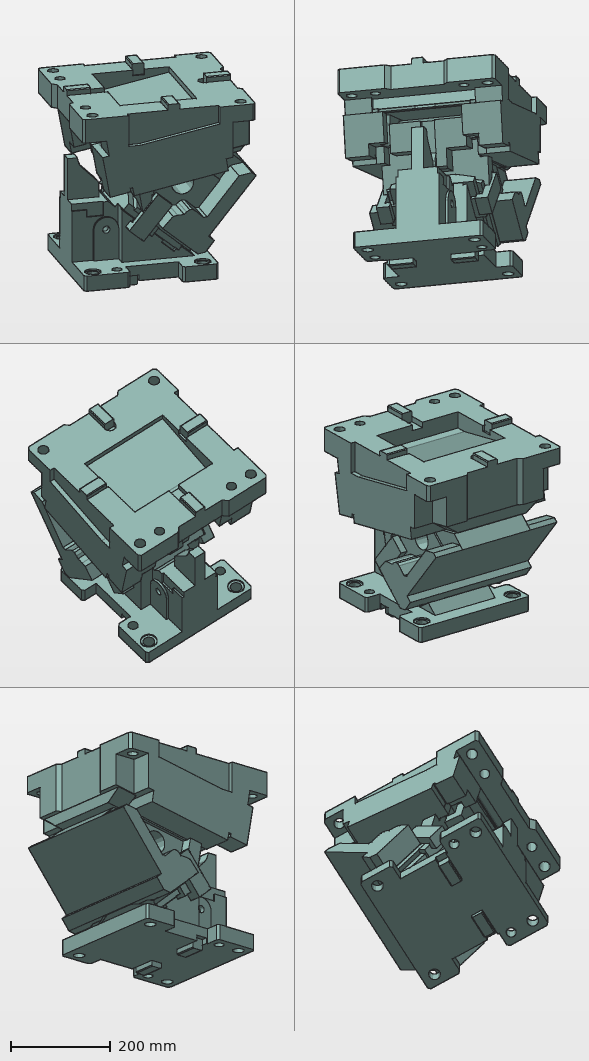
import cadquery as cq
import math


RAIL_ANGLE = 40
HOLDER_ANGLE = -10
KEY_WIDTH = 24.7
KEY_HEIGHT = 24.0
KEY_PROUD = KEY_HEIGHT / 2
KEY_LENGTH = 50.0
KEY_CHAMFER = 2.0

PLATE_HALF = 135.5
PLATE_LENGTH = 280.0
PLATE_TOP = 32.5
PLATE_CHAMFER = 4.8
WAIST_HALF = 101.7
WAIST_FRONT = 95.8
WAIST_REAR = 205.5
BASE_BOLT_X = 112.0
BASE_BOLT_FRONT = 24.0
BASE_BOLT_REAR = 253.0
BASE_BOLT_DIA = 23.0
SPOTFACE_DIA = 33.0
SPOTFACE_DEPTH = 3.0
BASE_DOWEL_Y = 74.2
DOWEL_DIA = 20.0
BASE_KEY_Y = 111.5
BASE_KEY_INNER = 40.0
COLUMN_HALF = 45.5
COLUMN_TOP = 154.0
BODY_HALF = 74.2
BODY_REAR = 246.5
POST_HALF = 12.8
POST_TOP = 241.0
POST_DEPTH = 65.0
RECESS_DEPTH = 4.0
RECESS_STEP_Y = 30.7
RECESS_SHALLOW_Z = 140.0
RECESS_DEEP_Z = 125.0
NOTCH_Y = 75.5
NOTCH_FLOOR = 165.5
PAD_HALF = 50.5
PAD_Y = 70.0
PAD_RADIUS = 26.0
PAD_CENTRE_Z = 96.5
PAD_HOLE_DIA = 14.8
PAD_HOLE_DEPTH = 12.0

RAIL_HALF = 87.8
RAIL_REAR = -127.3
RAIL_FRONT = 22.5
RAIL_BOTTOM = 174.5
ROOF_TOP = 208.3
ROOF_FLAT_HALF = 44.0
ROOF_ANGLE = 21
NECK_HALF = 65.5
NECK_HEIGHT = 2.8
POCKET_LENGTH = 34.0
KEEPER_THICK = 8.5

FLANGE_HALF = 149.5
FLANGE_TIP = (354.0, 217.0)
FLANGE_STEP = (255.0, 97.5)
CORE_TOP_REAR = (324.8, 242.0)
SLIDE_BOTTOM = 196.7
WEAR_OUTER = 98.0
WEAR_REAR = -142.5
FLANGE_REAR = -137.5
WEAR_FRONT = 8.8
LIP_HALF = 111.0
LIP_REAR = -182.0
SLIDE_HALF = 87.8
GUSSET_HALF = 83.8
GUSSET_START = 338.5
SLIDE_FRONT = -152.5
WEAR_THICK = 9.5
SLIDE_TOP = 183.0
BORE_DIA = 46.0
BORE_Y = 218.3
BORE_Z = 193.5
HEAD_HALF = 94.5
HEAD_REAR = -311.2
STEM_HALF = 71.0
WING_HALF = 79.8
STEM_TOP = 270.5
WING_TOP = 260.0
HOOK_FRONT = -113.0
HOOK_SLOT_END = -123.5
HOOK_OUTER = 36.7
HOOK_INNER = 14.8
HOOK_BOTTOM = 159.5
HOOK_WING_BOTTOM = 200.5
HOOK_CHAMFER = 4.8
ROLLER_RADIUS = 20.5
ROLLER_Y = 92.5
STRAP_REAR = -42.3
STRAP_FRONT = -3.0
STRAP_TOP = 243.5
STRAP_BOTTOM = 150.0
STRAP_OUTER = 117.0
STRAP_INNER = 101.7
STRAP_FOOT_INNER = 89.8
KEEPER_REAR = -58.0
KEEPER_FRONT = -13.0
KEEPER_OUTER = 98.5
KEEPER_LEG_INNER = 89.0
KEEPER_FOOT_INNER = 75.5
KEEPER_TOP = 193.5

HOLDER_WIDTH = 330.0
HOLDER_HALF = HOLDER_WIDTH / 2
HOLDER_FRONT = -11.5
HOLDER_LENGTH = 360.0
HOLDER_TOP = 375.0
HOLDER_PLATE_THICK = 50.0
HOLDER_CHAMFER = 5.0
NOTCH_FRONT_HALF = 65.5
NOTCH_FRONT_DEPTH = 10.0
NOTCH_REAR_HALF = 69.5
NOTCH_REAR_DEPTH = 8.5
POCKET_HALF = 100.0
POCKET_FRONT = 83.8
POCKET_REAR = 243.8
POCKET_FLAT_END = 105.7
POCKET_REAR_DEPTH = 11.0
SIDE_RECESS_DEPTH = 10.5
SIDE_RECESS_FRONT = 83.8
SIDE_RECESS_FLAT_END = 108.5
SIDE_RECESS_FLAT_Z = 310.0
SIDE_RECESS_REAR = 273.7
SIDE_RECESS_REAR_Z = 339.0
SIDE_KEY_Y = 180.7
REAR_SLOT_Y = 288.0
HOLDER_BOLT_X = 142.5
HOLDER_BOLT_FRONT = 14.5
HOLDER_BOLT_REAR = 323.5
HOLDER_BOLT_DIA = 22.0
HOLDER_DOWEL_X = 92.5
GUIDE_INNER = 98.0
FRONT_GUIDE_INNER = 115.5
SLOT_REAR = -129.5
CHANNEL_HALF = 82.5
CHANNEL_REAR = -319.2
GUIDE_REAR = -328.5
STOP_TOP = 211.5
STOP_BOTTOM = 186.5
STOP_BOTTOM_HALF = 83.8
STOP_FRONT = -335.5
STOP_REAR_Y = 339.0
PANEL_OUTER_STEP = -96.5
PANEL_INNER_STEP = -101.7
CHANNEL_TOP = 281.3
FRONT_GUIDE_BACK = -105.7
UNDERCUT_TOP = 219.0
GUIDE_BOTTOM = 184.5
PANEL_HALF = 108.5
PANEL_Y = 48.0
PANEL_BOTTOM = 303.2
PANEL_LEDGE = 293.5
PANEL_STEP_HALF = 96.5
PANEL_RIB_HALF = 21.0
PANEL_RIB_Y = 50.3
REAR_HALF = 119.7
REAR_RECESS_Y = 301.2
REAR_RECESS_TOP = 340.5

REACH = 798.0


def at(angle, along, across):
    """(Y, Z) of a point given along and perpendicular to a direction climbing to the front."""
    c = math.cos(math.radians(angle))
    s = math.sin(math.radians(angle))
    return (-c * along + s * across, s * along + c * across)


def profile_x(points, half):
    """A closed (Y, Z) outline spread evenly to both sides of the mirror plane."""
    return cq.Workplane("YZ").polyline(points).close().extrude(half, both=True)


def profile_along(angle, points, start, end):
    """A closed (X, across) section swept along an inclined direction."""
    y, z = at(angle, start, 0)
    radians = math.radians(angle)
    normal = (0, -math.cos(radians), math.sin(radians))
    plane = cq.Plane(origin=(0, y, z), xDir=(1, 0, 0), normal=normal)
    return cq.Workplane(plane).polyline(points).close().extrude(end - start)


def bar(angle, x0, x1, bottom, top, start, end):
    """A rectangular bar lying along an inclined direction."""
    section = [(x0, bottom), (x1, bottom), (x1, top), (x0, top)]
    return profile_along(angle, section, start, end)


def bars(angle, inner, outer, bottom, top, start, end):
    """The same bar on both sides of the mirror plane."""
    right = bar(angle, inner, outer, bottom, top, start, end)
    return right.union(right.mirror("YZ"))


def block(x0, x1, y0, y1, z0, z1):
    return cq.Workplane("XY").box(x1 - x0, y1 - y0, z1 - z0, centered=False).translate((x0, y0, z0))


def blocks(inner, outer, y0, y1, z0, z1):
    """The same upright block on both sides of the mirror plane."""
    right = block(inner, outer, y0, y1, z0, z1)
    return right.union(right.mirror("YZ"))


def drill(x, y, z_top, diameter, depth):
    """Vertical round cutters at +x and -x."""
    plane = cq.Workplane("XY", origin=(0, y, z_top - depth))
    return plane.pushPoints([(-x, 0), (x, 0)]).circle(diameter / 2).extrude(depth)


def roof_height(x):
    """Height of the sloping roof face at a distance from the mirror plane."""
    return ROOF_TOP - (x - ROOF_FLAT_HALF) * math.tan(math.radians(ROOF_ANGLE))


def mirrored(points):
    """Complete a half outline, listed from the middle outwards, with its mirror image."""
    return [(-x, h) for x, h in reversed(points)] + points


def base_plate():
    plate = block(-PLATE_HALF, PLATE_HALF, 0, PLATE_LENGTH, 0, PLATE_TOP)
    plate = plate.cut(blocks(WAIST_HALF, PLATE_HALF, WAIST_FRONT, WAIST_REAR, 0, PLATE_TOP))
    plate = plate.edges("|Z").edges("<X or >X").chamfer(PLATE_CHAMFER)
    for y in (BASE_BOLT_FRONT, BASE_BOLT_REAR):
        plate = plate.cut(drill(BASE_BOLT_X, y, PLATE_TOP, BASE_BOLT_DIA, PLATE_TOP))
        plate = plate.cut(drill(BASE_BOLT_X, y, PLATE_TOP, SPOTFACE_DIA, SPOTFACE_DEPTH))
    return plate.cut(drill(BASE_BOLT_X, BASE_DOWEL_Y, PLATE_TOP, DOWEL_DIA, PLATE_TOP))


def base_keys():
    """Two keys in the underside, level in depth and standing out by half their height."""
    y0 = BASE_KEY_Y - KEY_WIDTH / 2
    inner = BASE_KEY_INNER
    keys = blocks(inner, inner + KEY_LENGTH, y0, y0 + KEY_WIDTH, -KEY_PROUD, KEY_PROUD)
    return keys.faces("<Z").edges("|X").chamfer(KEY_CHAMFER)


def base_key_slots():
    y0 = BASE_KEY_Y - KEY_WIDTH / 2
    return blocks(BASE_KEY_INNER, WAIST_HALF, y0, y0 + KEY_WIDTH, 0, KEY_PROUD)


def base_body():
    """Broad wedge under the rail, with a neck and an entry pocket for the keepers."""
    mid_rail = (RAIL_BOTTOM + roof_height(RAIL_HALF)) / 2
    slope = math.radians(RAIL_ANGLE)
    rail_bottom_z = (RAIL_BOTTOM - WAIST_FRONT * math.sin(slope)) / math.cos(slope)
    outline = [
        (WAIST_FRONT, 0),
        (BODY_REAR, 0),
        (BODY_REAR, PLATE_TOP),
        at(RAIL_ANGLE, RAIL_REAR, mid_rail),
        at(RAIL_ANGLE, RAIL_FRONT, mid_rail),
        (WAIST_FRONT, rail_bottom_z),
    ]
    body = profile_x(outline, BODY_HALF)
    neck_bottom = RAIL_BOTTOM - NECK_HEIGHT
    neck = bars(RAIL_ANGLE, NECK_HALF, BODY_HALF, neck_bottom, RAIL_BOTTOM, RAIL_REAR, REACH)
    pocket_end = RAIL_REAR + POCKET_LENGTH
    pocket_bottom = RAIL_BOTTOM - KEEPER_THICK
    pocket = bars(RAIL_ANGLE, NECK_HALF, BODY_HALF, pocket_bottom, RAIL_BOTTOM, RAIL_REAR, pocket_end)
    return body.cut(neck).cut(pocket)


def rail():
    half = [(ROOF_FLAT_HALF, ROOF_TOP), (RAIL_HALF, roof_height(RAIL_HALF)), (RAIL_HALF, RAIL_BOTTOM)]
    return profile_along(RAIL_ANGLE, mirrored(half), RAIL_REAR, RAIL_FRONT)


def column():
    """Narrow front column with a V notch ahead of the rail and shallow side recesses."""
    outline = [
        (0, 0),
        (0, COLUMN_TOP),
        (NOTCH_Y, COLUMN_TOP),
        at(RAIL_ANGLE, RAIL_FRONT, NOTCH_FLOOR),
        at(RAIL_ANGLE, RAIL_FRONT, RAIL_BOTTOM + NECK_HEIGHT),
        (111.7, 119.7),
        (111.7, 0),
    ]
    shape = profile_x(outline, COLUMN_HALF)
    inner = COLUMN_HALF - RECESS_DEPTH
    shape = shape.cut(blocks(inner, COLUMN_HALF, 0, RECESS_STEP_Y, RECESS_SHALLOW_Z, COLUMN_TOP))
    return shape.cut(blocks(inner, COLUMN_HALF, RECESS_STEP_Y, POST_DEPTH, RECESS_DEEP_Z, COLUMN_TOP))


def post():
    shape = (
        cq.Workplane("YZ")
        .moveTo(0, PLATE_TOP)
        .lineTo(0, POST_TOP)
        .lineTo(20.7, POST_TOP)
        .threePointArc((24.5, 228.0), (30.7, 218.5))
        .lineTo(60.2, 190.0)
        .threePointArc((64.0, 186.0), (POST_DEPTH, 181.0))
        .lineTo(POST_DEPTH, PLATE_TOP)
        .close()
    )
    return shape.extrude(POST_HALF, both=True)


def side_pads():
    """Round-topped pads on the column."""
    return (
        cq.Workplane("YZ")
        .moveTo(PAD_Y - PAD_RADIUS, PLATE_TOP)
        .lineTo(PAD_Y - PAD_RADIUS, PAD_CENTRE_Z)
        .threePointArc((PAD_Y, PAD_CENTRE_Z + PAD_RADIUS), (PAD_Y + PAD_RADIUS, PAD_CENTRE_Z))
        .lineTo(PAD_Y + PAD_RADIUS, PLATE_TOP)
        .close()
        .extrude(PAD_HALF, both=True)
    )


def pad_holes():
    """Blind drilled holes with a conical end, one in each pad."""
    radius = PAD_HOLE_DIA / 2
    bottom = PAD_HALF - PAD_HOLE_DEPTH
    cutter = (
        cq.Workplane("XY", origin=(0, PAD_Y, PAD_CENTRE_Z))
        .polyline([(PAD_HALF, 0), (PAD_HALF, radius), (bottom, radius), (bottom - radius / 2, 0)])
        .close()
        .revolve(360, (0, 0, 0), (1, 0, 0))
    )
    return cutter.union(cutter.mirror("YZ"))


def make_base():
    shape = base_plate().union(base_body()).union(rail()).union(column())
    shape = shape.union(post()).union(side_pads())
    return shape.cut(pad_holes()).cut(base_key_slots()).union(base_keys())


def flange():
    """Wide working plate whose rear face leans back towards its upper tip."""
    outline = (
        cq.Workplane("YZ")
        .moveTo(*FLANGE_TIP)
        .lineTo(345.0, 224.2)
        .lineTo(318.5, 220.0)
        .lineTo(251.8, 139.0)
        .lineTo(244.0, 139.0)
        .lineTo(227.5, 154.0)
        .lineTo(222.0, 157.5)
        .lineTo(215.5, 157.5)
        .lineTo(208.5, 153.5)
        .lineTo(204.0, 149.0)
        .lineTo(190.5, 148.5)
        .lineTo(180.7, 147.0)
        .lineTo(*at(RAIL_ANGLE, STRAP_REAR, SLIDE_BOTTOM))
        .lineTo(*at(RAIL_ANGLE, FLANGE_REAR, SLIDE_BOTTOM))
        .lineTo(248.5, 65.0)
        .lineTo(266.5, 87.5)
        .lineTo(*FLANGE_STEP)
        .close()
    )
    return outline.extrude(FLANGE_HALF, both=True)


def slide_core():
    """Body between flange and front lip; thinner behind the line that starts the gusset."""
    turn = math.radians(RAIL_ANGLE - HOLDER_ANGLE)
    front_drop = (SLIDE_BOTTOM + SLIDE_FRONT * math.sin(turn)) / math.cos(turn)
    front_top = at(HOLDER_ANGLE, SLIDE_FRONT, SLIDE_TOP)
    front_bottom = at(HOLDER_ANGLE, SLIDE_FRONT, front_drop)
    core_outline = [
        CORE_TOP_REAR,
        front_top,
        front_bottom,
        at(RAIL_ANGLE, FLANGE_REAR, SLIDE_BOTTOM),
        FLANGE_STEP,
        FLANGE_TIP,
    ]
    gusset = profile_x(core_outline, GUSSET_HALF)
    body = profile_x(core_outline, SLIDE_HALF)
    body = body.cut(bar(RAIL_ANGLE, -REACH, REACH, GUSSET_START, REACH, -REACH, REACH))
    lip_outline = [
        at(HOLDER_ANGLE, LIP_REAR, SLIDE_TOP),
        front_top,
        front_bottom,
        (147.2, 133.3),
        (147.2, 182.0),
        (152.5, 185.5),
    ]
    return gusset.union(body).union(profile_x(lip_outline, LIP_HALF))


def slide_head():
    """Stepped head that runs in the holder's channel."""
    lower = bar(HOLDER_ANGLE, -HEAD_HALF, HEAD_HALF, SLIDE_TOP, UNDERCUT_TOP, HEAD_REAR, SLIDE_FRONT)
    upper = bar(HOLDER_ANGLE, -STEM_HALF, STEM_HALF, UNDERCUT_TOP, STEM_TOP, HEAD_REAR, SLIDE_FRONT)
    return lower.union(upper)


def front_hook():
    """T-shaped front piece split by a slot for the base's post, with a round bar across it."""
    start = SLIDE_FRONT
    wing = bar(HOLDER_ANGLE, -WING_HALF, WING_HALF, HOOK_WING_BOTTOM, WING_TOP, start, HOOK_FRONT)
    stem = bar(HOLDER_ANGLE, -HOOK_OUTER, HOOK_OUTER, HOOK_BOTTOM, WING_TOP, start, HOOK_FRONT)
    stem = stem.edges("|X").edges("<Z").chamfer(HOOK_CHAMFER)
    slot = bar(HOLDER_ANGLE, -HOOK_INNER, HOOK_INNER, HOOK_BOTTOM, WING_TOP, HOOK_SLOT_END, HOOK_FRONT)
    roller = (
        cq.Workplane("YZ", origin=(0, ROLLER_Y, BORE_Z)).circle(ROLLER_RADIUS).extrude(HOOK_INNER, both=True)
    )
    return wing.union(stem).cut(slot).union(roller)


def wear_strips():
    """Sloping strips that sit on the roof faces, their outer edges square to the slope."""
    thick = WEAR_THICK
    slope = math.radians(ROOF_ANGLE)
    bottom = roof_height(WEAR_OUTER)
    section = [
        (ROOF_FLAT_HALF, ROOF_TOP),
        (WEAR_OUTER, bottom),
        (WEAR_OUTER + thick * math.sin(slope), bottom + thick * math.cos(slope)),
        (ROOF_FLAT_HALF, ROOF_TOP + thick / math.cos(slope)),
    ]
    right = profile_along(RAIL_ANGLE, section, WEAR_REAR, WEAR_FRONT)
    return right.union(right.mirror("YZ"))


def roof_clearance():
    half = [(ROOF_FLAT_HALF, ROOF_TOP), (WEAR_OUTER, roof_height(WEAR_OUTER)), (WEAR_OUTER, RAIL_BOTTOM)]
    return profile_along(RAIL_ANGLE, mirrored(half), -REACH, REACH)


def straps():
    """L-shaped side straps and the keepers they hold under the rail."""
    keeper_bottom = RAIL_BOTTOM - KEEPER_THICK
    leg = bars(RAIL_ANGLE, STRAP_INNER, STRAP_OUTER, STRAP_BOTTOM, STRAP_TOP, STRAP_REAR, STRAP_FRONT)
    foot = bars(
        RAIL_ANGLE, STRAP_FOOT_INNER, STRAP_OUTER, STRAP_BOTTOM, keeper_bottom, STRAP_REAR, STRAP_FRONT
    )
    keeper_leg = bars(
        RAIL_ANGLE, KEEPER_LEG_INNER, KEEPER_OUTER, keeper_bottom, KEEPER_TOP, KEEPER_REAR, KEEPER_FRONT
    )
    keeper_foot = bars(
        RAIL_ANGLE, KEEPER_FOOT_INNER, KEEPER_OUTER, keeper_bottom, RAIL_BOTTOM, KEEPER_REAR, KEEPER_FRONT
    )
    return leg.union(foot).union(keeper_leg).union(keeper_foot)


def make_slide():
    shape = flange().union(slide_core()).union(slide_head())
    shape = shape.cut(roof_clearance()).union(wear_strips()).union(straps()).union(front_hook())
    bore = cq.Workplane("YZ", origin=(0, BORE_Y, BORE_Z)).circle(BORE_DIA / 2).extrude(REACH, both=True)
    return shape.cut(bore)


def edge_notch(y_edge, half, depth, inward):
    """Trapezoid cutter with 45 degree flanks in the plate's front or rear edge."""
    y_in = y_edge + inward * depth
    points = [(-half, y_edge), (half, y_edge), (half - depth, y_in), (depth - half, y_in)]
    return cq.Workplane("XY").polyline(points).close().extrude(REACH)


def holder_outline():
    """Top plate and guide legs; a narrow slot parts the legs from the lower front guide."""
    rear = HOLDER_FRONT + HOLDER_LENGTH
    plate_bottom = HOLDER_TOP - HOLDER_PLATE_THICK
    points = [
        (HOLDER_FRONT, HOLDER_TOP),
        (HOLDER_FRONT, plate_bottom),
        (37.5, plate_bottom),
        (43.0, PANEL_LEDGE),
        (29.5, 291.0),
        (45.0, 205.5),
        (88.0, 213.0),
        (87.0, 220.2),
        (91.8, 221.0),
        at(HOLDER_ANGLE, SLOT_REAR, GUIDE_BOTTOM),
        at(HOLDER_ANGLE, GUIDE_REAR, GUIDE_BOTTOM),
        (287.3, 263.7),
        (rear, 274.5),
        (rear, HOLDER_TOP),
    ]
    return profile_x(points, HOLDER_HALF)


def channel():
    """Stepped channel for the slide's head, open to the front."""
    cutter = bar(HOLDER_ANGLE, -GUIDE_INNER, GUIDE_INNER, 0, UNDERCUT_TOP, CHANNEL_REAR, REACH)
    front_part = bar(
        HOLDER_ANGLE, -FRONT_GUIDE_INNER, FRONT_GUIDE_INNER, 0, UNDERCUT_TOP, SLOT_REAR, REACH
    )
    deep = bar(HOLDER_ANGLE, -CHANNEL_HALF, CHANNEL_HALF, 0, CHANNEL_TOP, CHANNEL_REAR, 0)
    behind = bar(
        HOLDER_ANGLE, -GUIDE_INNER, GUIDE_INNER, 0, CHANNEL_TOP, SLOT_REAR, FRONT_GUIDE_BACK
    )
    return cutter.union(front_part).union(deep).union(behind)


def sloping_recess(x0, x1, points):
    """Pocket from the top face with a sloping floor, given its (Y, Z) outline."""
    return cq.Workplane("YZ", origin=(x0, 0, 0)).polyline(points).close().extrude(x1 - x0)


def top_pocket():
    rear_z = HOLDER_TOP - POCKET_REAR_DEPTH
    flat_z = rear_z + (POCKET_REAR - POCKET_FLAT_END) * math.tan(math.radians(HOLDER_ANGLE))
    points = [
        (POCKET_FRONT, HOLDER_TOP),
        (POCKET_FRONT, flat_z),
        (POCKET_FLAT_END, flat_z),
        (POCKET_REAR, rear_z),
        (POCKET_REAR, HOLDER_TOP),
    ]
    return sloping_recess(-POCKET_HALF, POCKET_HALF, points)


def side_recesses():
    points = [
        (SIDE_RECESS_FRONT, HOLDER_TOP),
        (SIDE_RECESS_FRONT, SIDE_RECESS_FLAT_Z),
        (SIDE_RECESS_FLAT_END, SIDE_RECESS_FLAT_Z),
        (SIDE_RECESS_REAR, SIDE_RECESS_REAR_Z),
        (SIDE_RECESS_REAR, HOLDER_TOP),
    ]
    right = sloping_recess(HOLDER_HALF - SIDE_RECESS_DEPTH, HOLDER_HALF, points)
    return right.union(right.mirror("YZ"))


def holder_key_slots():
    floor = HOLDER_TOP - KEY_PROUD
    half = KEY_WIDTH / 2
    rear = HOLDER_FRONT + HOLDER_LENGTH
    slots = block(-half, half, HOLDER_FRONT, POCKET_FRONT, floor, HOLDER_TOP)
    slots = slots.union(block(-half, half, REAR_SLOT_Y, rear, floor, HOLDER_TOP))
    round_end = cq.Workplane("XY", origin=(0, REAR_SLOT_Y, floor)).circle(half).extrude(KEY_PROUD)
    side = blocks(POCKET_HALF, HOLDER_HALF, SIDE_KEY_Y - half, SIDE_KEY_Y + half, floor, HOLDER_TOP)
    return slots.union(round_end).union(side)


def holder_keys():
    """Four keys: front and rear run along Y, the side pair runs along X."""
    low = HOLDER_TOP - KEY_PROUD
    high = HOLDER_TOP + KEY_PROUD
    half = KEY_WIDTH / 2
    front_y = HOLDER_FRONT + NOTCH_FRONT_DEPTH
    rear_y = HOLDER_FRONT + HOLDER_LENGTH - NOTCH_REAR_DEPTH
    side_x = HOLDER_HALF - SIDE_RECESS_DEPTH
    front = block(-half, half, front_y, front_y + KEY_LENGTH, low, high)
    rear = block(-half, half, rear_y - KEY_LENGTH, rear_y, low, high)
    lengthwise = front.union(rear).faces(">Z").edges("|Y").chamfer(KEY_CHAMFER)
    sideways = blocks(side_x - KEY_LENGTH, side_x, SIDE_KEY_Y - half, SIDE_KEY_Y + half, low, high)
    return lengthwise.union(sideways.faces(">Z").edges("|X").chamfer(KEY_CHAMFER))


def rear_stop():
    """Stop under the rear of the holder with flanks that slope inwards."""
    half = [(STOP_BOTTOM_HALF, STOP_BOTTOM), (REAR_HALF, STOP_TOP)]
    stop = profile_along(HOLDER_ANGLE, mirrored(half), -REACH, STOP_FRONT)
    return stop.intersect(block(-REACH, REACH, 0, STOP_REAR_Y, 0, REACH))


def stepped_panel():
    """Tilted faces below the upright front panel, either side of an upright central rib."""
    outer = bars(HOLDER_ANGLE, PANEL_STEP_HALF, PANEL_HALF, 0, REACH, PANEL_OUTER_STEP, REACH)
    inner = bars(HOLDER_ANGLE, PANEL_RIB_HALF, PANEL_STEP_HALF, 0, REACH, PANEL_INNER_STEP, REACH)
    rib_face = block(-PANEL_RIB_HALF, PANEL_RIB_HALF, 0, PANEL_RIB_Y, PANEL_LEDGE, PANEL_BOTTOM)
    band = block(-PANEL_HALF, PANEL_HALF, 0, PANEL_Y * 2, PANEL_LEDGE, PANEL_BOTTOM)
    return outer.union(inner).intersect(band).union(rib_face)


def holder_holes():
    depth = HOLDER_PLATE_THICK
    holes = drill(HOLDER_DOWEL_X, HOLDER_BOLT_FRONT, HOLDER_TOP, DOWEL_DIA, depth)
    for y in (HOLDER_BOLT_FRONT, HOLDER_BOLT_REAR):
        holes = holes.union(drill(HOLDER_BOLT_X, y, HOLDER_TOP, HOLDER_BOLT_DIA, depth))
    return holes


def make_holder():
    rear = HOLDER_FRONT + HOLDER_LENGTH
    shape = holder_outline()
    shape = shape.cut(blocks(REAR_HALF, HOLDER_HALF, REAR_RECESS_Y, rear, 0, REAR_RECESS_TOP))
    rear_corners = cq.selectors.BoxSelector((-REACH, rear - 4, REAR_RECESS_TOP), (REACH, rear + 4, REACH))
    shape = shape.edges("|Z").edges(rear_corners).chamfer(HOLDER_CHAMFER)
    shape = shape.edges("|Z").edges("<Y").chamfer(HOLDER_CHAMFER)
    shape = shape.cut(edge_notch(HOLDER_FRONT, NOTCH_FRONT_HALF, NOTCH_FRONT_DEPTH, 1))
    shape = shape.cut(edge_notch(rear, NOTCH_REAR_HALF, NOTCH_REAR_DEPTH, -1))
    plate_bottom = HOLDER_TOP - HOLDER_PLATE_THICK
    shape = shape.cut(block(-PANEL_HALF, PANEL_HALF, 0, PANEL_Y, PANEL_BOTTOM, plate_bottom))
    shape = shape.cut(stepped_panel())
    shape = shape.cut(channel()).cut(top_pocket()).cut(side_recesses()).cut(holder_holes())
    shape = shape.cut(holder_key_slots()).union(holder_keys())
    return shape.union(rear_stop())


base = make_base()
slide = make_slide()
holder = make_holder()
result = cq.Compound.makeCompound([*base.vals(), *slide.vals(), *holder.vals()])